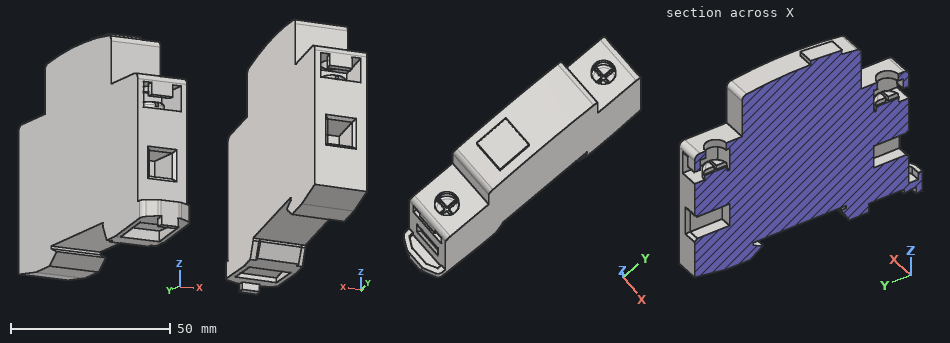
import cadquery as cq


width = 17.5
body_length = 81.1
shoulder_height = 49.9
head_length = 45.25
head_edge_height = 65.6
crown_height = 67.4
corner_radius = 2.1
end_y = body_length / 2
head_y = head_length / 2

base_rise = 1.9
rear_foot_start = 28.6
rear_foot_end = 19.4
rail_hook_tip_y = 14.5
rail_hook_tip_z = 3.6
rail_rear_y = 18.2
rail_front_y = -16.7
rail_lip_z = 5.35
rail_top_z = 6.2
front_foot_start = -19.5
front_foot_end = -25.3
front_base_gradient = 0.14

button_width = 11.3
button_rear_y = -3.2
button_front_y = -15.3
button_rear_z = 69.0
button_front_z = 68.1
button_root_z = 64.65

cavity_width = 13.4
cavity_floor_z = 38.8
cavity_top_z = 47.1
cavity_depth = 13.2
wall = 2.2
tab_width = 7.5
tab_bottom_z = 43.2
screw_inset = 8.1
access_diameter = 7.7
screw_diameter = 8.7
screw_height = 3.4
screw_edge_radius = 1.0
screw_slot_width = 0.9
screw_slot_depth = 1.6

entry_width = 10.3
entry_height = 10.4
entry_bottom_z = 15.9
entry_bevel = 1.0
entry_depth = cavity_depth

latch_reach = 5.1
latch_top_z = 8.0
latch_floor_z = 5.35
latch_side_length = 2.6
latch_nose_width = 7.4
latch_edge_radius = 2.2
well_width = 13.7
well_side_length = 1.55
well_reach = 3.4
well_nose_width = 6.6
grip_width = 5.9
grip_thickness = 2.5
hook_tip_y = -15.1
hook_top_z = 5.4
hook_tip_z = 4.65
hook_foot_y = -17.9
recess_front_y = -38.5
recess_top_z = 3.45


def box(x_size, y_min, y_max, z_min, z_max):
    """Block centred on X, between the given Y and Z limits."""
    return (
        cq.Workplane("XY")
        .box(x_size, y_max - y_min, z_max - z_min, centered=(True, False, False))
        .translate((0, y_min, z_min))
    )


def side_prism(points, x_size):
    """Prism centred on X whose cross-section is a polygon of (y, z) points."""
    return cq.Workplane("YZ").polyline(points).close().extrude(x_size / 2, both=True)


def front_base_z(y):
    """Height of the sloping underside at the front end."""
    return (front_foot_end - y) * front_base_gradient


def housing():
    body = (
        cq.Workplane("YZ")
        .moveTo(end_y, base_rise)
        .lineTo(end_y, shoulder_height)
        .lineTo(head_y, shoulder_height)
        .lineTo(head_y, head_edge_height)
        .threePointArc((0, crown_height), (-head_y, head_edge_height))
        .lineTo(-head_y, shoulder_height)
        .lineTo(-end_y, shoulder_height)
        .lineTo(-end_y, front_base_z(-end_y))
        .lineTo(front_foot_end, 0)
        .lineTo(front_foot_start, 0)
        .lineTo(rail_front_y, rail_lip_z)
        .lineTo(rail_front_y, rail_top_z)
        .lineTo(rail_rear_y, rail_top_z)
        .lineTo(rail_rear_y, rail_lip_z)
        .lineTo(rail_hook_tip_y, rail_hook_tip_z)
        .lineTo(rear_foot_end, 0)
        .lineTo(rear_foot_start, 0)
        .close()
        .extrude(width / 2, both=True)
    )
    for y, z in ((end_y, shoulder_height), (head_y, head_edge_height)):
        for side in (1, -1):
            edge = cq.selectors.NearestToPointSelector((0, side * y, z))
            body = body.edges(edge).fillet(corner_radius)
    return body


def button():
    outline = [
        (button_rear_y, button_root_z),
        (button_rear_y, button_rear_z),
        (button_front_y, button_front_z),
        (button_front_y, button_root_z),
    ]
    return side_prism(outline, button_width)


def screw():
    """Screw head with a rounded rim and a cross slot."""
    head = cq.Workplane("XY").circle(screw_diameter / 2).extrude(screw_height)
    head = head.faces(">Z").edges().fillet(screw_edge_radius)
    for angle in (0, 90):
        slot = (
            cq.Workplane("XY")
            .workplane(offset=screw_height - screw_slot_depth)
            .transformed(rotate=(0, 0, angle))
            .rect(screw_diameter, screw_slot_width)
            .extrude(screw_slot_depth)
        )
        head = head.cut(slot)
    return head


def terminal_void():
    """Space of the front screw terminal: cavity with its screw, front opening and access hole."""
    screw_y = screw_inset - end_y
    cavity = box(cavity_width, -end_y, cavity_depth - end_y, cavity_floor_z, cavity_top_z)
    tab = box(tab_width, -end_y, wall - end_y, tab_bottom_z, cavity_top_z)
    access = (
        cq.Workplane("XY")
        .circle(access_diameter / 2)
        .extrude(shoulder_height - cavity_top_z)
        .translate((0, screw_y, cavity_top_z))
    )
    return cavity.cut(tab).cut(screw().translate((0, screw_y, cavity_floor_z))).union(access)


def entry_void():
    """Square wire entry in the front end, with a bevelled mouth."""
    mouth = (
        cq.Workplane("XZ", origin=(0, -end_y, entry_bottom_z + entry_height / 2))
        .rect(entry_width, entry_height)
        .extrude(-entry_bevel, taper=45)
    )
    bore = box(
        entry_width - 2 * entry_bevel,
        -end_y,
        entry_depth - end_y,
        entry_bottom_z + entry_bevel,
        entry_bottom_z + entry_height - entry_bevel,
    )
    return mouth.union(bore)


def nose(base_width, side_length, reach, nose_width, z_min, z_max):
    """Upright block on the front end: straight sides, then flats tapering to a blunt nose."""
    outline = [
        (-base_width / 2, -end_y),
        (-base_width / 2, -end_y - side_length),
        (-nose_width / 2, -end_y - reach),
        (nose_width / 2, -end_y - reach),
        (base_width / 2, -end_y - side_length),
        (base_width / 2, -end_y),
    ]
    return cq.Workplane("XY").workplane(offset=z_min).polyline(outline).close().extrude(z_max - z_min)


def latch_handle():
    """Latch end in front of the housing, with an open well and a grip below."""
    front_y = -end_y - latch_reach
    handle = nose(width, latch_side_length, latch_reach, latch_nose_width, 0, latch_top_z)
    handle = handle.edges("|Z and (not >Y)").fillet(latch_edge_radius)
    below_slope = [
        (-end_y, 0),
        (-end_y, front_base_z(-end_y)),
        (front_y, front_base_z(front_y)),
        (front_y, 0),
    ]
    grip = box(grip_width, front_y, front_y + grip_thickness, 0, latch_floor_z)
    well = nose(well_width, well_side_length, well_reach, well_nose_width, latch_floor_z, latch_top_z)
    return handle.cut(side_prism(below_slope, width)).union(grip).cut(well)


def latch_hook():
    """Latch tip that reaches into the rail notch."""
    outline = [
        (front_foot_start, hook_top_z),
        (hook_tip_y, hook_top_z),
        (hook_tip_y, hook_tip_z),
        (hook_foot_y, 0),
        (front_foot_start, 0),
    ]
    return side_prism(outline, well_width)


terminal = terminal_void()
entry = entry_void()
latch_recess = box(well_width, recess_front_y, front_foot_end, 0, recess_top_z)

result = housing().union(button())
for void in (terminal, entry):
    result = result.cut(void).cut(void.mirror("XZ"))
result = result.cut(latch_recess).union(latch_handle()).union(latch_hook())